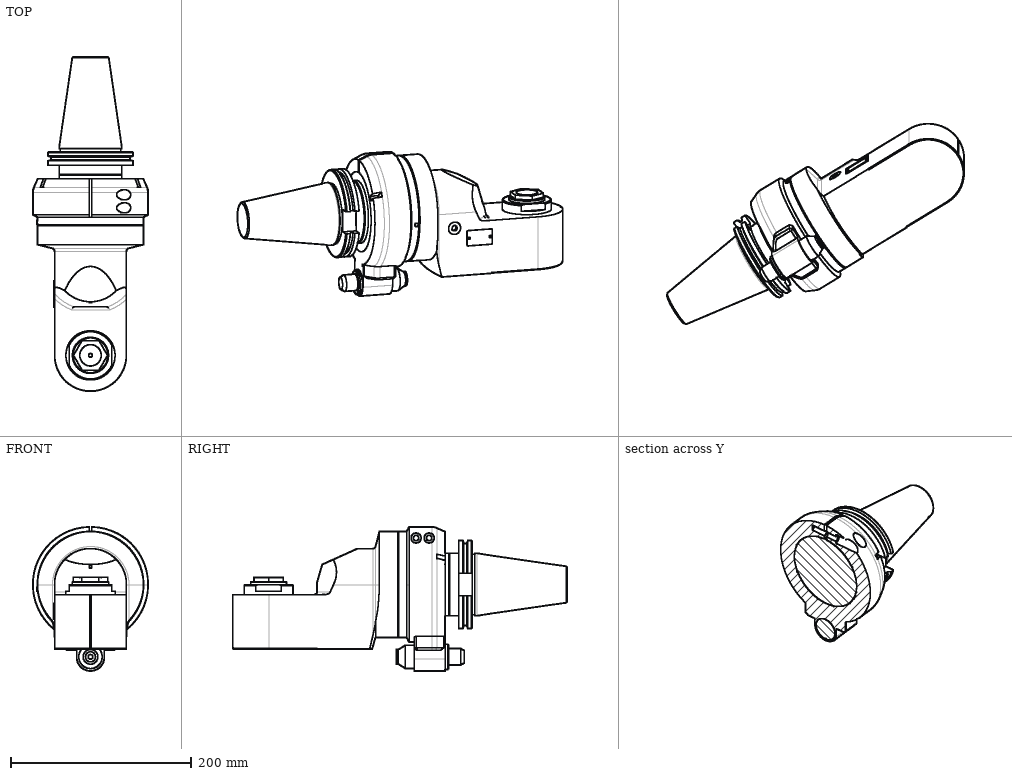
import cadquery as cq
import math


TOTAL_LENGTH = 371.5
TOTAL_HEIGHT = 160.0
FAR = 223.0
OVERRUN = 3.7

FLANGE_REAR_Y = 266.0
FLANGE_FRONT_Y = 250.7
RING_REAR_Y = 236.0
RING_FRONT_Y = 193.0
FLARE_REAR_Y = 162.5

TAPER_END_RADIUS = 20.5
TAPER_END_CHAMFER = 1.5
NECK_RADIUS = 35.0
TAPER_LENGTH = 100.5
RELIEF_WIDTH = 3.0
RELIEF_DEPTH = 1.0
FLANGE_RADIUS = 49.0
FLANGE_CHAMFER = 1.0
GRIP_RADIUS = 45.5
GRIP_REAR_Y = 259.5
GRIP_FRONT_Y = 256.5
GRIP_REAR_SLOPE = 1.5
GRIP_FRONT_SLOPE = 1.0
DRIVE_SLOT_WIDTH = 25.3
DRIVE_SLOT_FLOOR = 36.0
NECK_GROOVE_Y = 239.5
NECK_GROOVE_WIDTH = 1.0
NECK_GROOVE_DEPTH = 0.55

BARREL_RADIUS = 59.0
SPIGOT_RADIUS = 44.5
SEAM_Y = 183.5
SEAM_WIDTH = 1.0
SEAM_DEPTH = 0.55
ARM_HALF_WIDTH = 80.0 / 2
ARM_TOP_Z = -11.0
ARM_BOTTOM_Z = -71.5
ARM_EDGE_CHAMFER = 1.0
FLARE_TIP_Y = 158.0
FLARE_FILLET = 3.5
LIMIT_CONE_Y = 158.5
LIMIT_CONE_SLOPE = 0.29
SHOULDER_CONE_Y = 144.0
SHOULDER_CONE_RADIUS = 51.3
SHOULDER_CONE_SLOPE = 0.29
SHOULDER_FACE_Y = 93.5
FOOT_HEIGHT = 3.0
ROOF_TOP_Y = 138.5
ROOF_RISE = 0.45
VENT_DIAMETER = 3.3
VENT_Z = 19.5
VENT_DEPTH = 3.7
NOSE_MARK_WIDTH = 1.5
NOSE_MARK_DEPTH = 0.55
STUD_Y = 187.5
STUD_Z = -5.2
STUD_DIAMETER = 4.0
STUD_HEIGHT = 0.7

RING_RADIUS = 128.0 / 2
RING_REAR_RADIUS = 58.5
RING_CONE_FRONT_Y = 226.5
RING_CONE_FRONT_RADIUS = 62.8
RING_ROUND_FRONT_Y = 221.0
RING_CHAMFER_Y = 195.7
SLIT_WIDTH = 2.5
NOTCH_WIDTH = 5.2
NOTCH_BOTTOM_RADIUS = 49.5
NOTCH_ANGLES = (30, 150)
SCREW_HOLE_STATIONS = (218.0, 203.5)
SCREW_HOLE_Z = 51.5
SCREW_HEAD_DIAMETER = 11.0
SCREW_SHAFT_DIAMETER = 6.0
SCREW_SEAT_X = 15.0
SCREW_HOLE_END_X = -18.5
LUG_FRONT_Y = 201.3
LUG_BLOCK_TOP_Z = -57.2
LUG_BLOCK_BOTTOM_Z = -72.8
LUG_BLOCK_CHAMFER = 2.5
LUG_HALF_WIDTH = 31.0 / 2
LUG_ROUND_Z = -82.5
LUG_BOTTOM_Z = RING_RADIUS - TOTAL_HEIGHT
PIN_Z = -80.2

PIN_REAR_Y = 257.0
PIN_REAR_RADIUS = 9.3
PIN_REAR_CHAMFER = 2.2
PIN_REAR_CHAMFER_LENGTH = 4.0
PIN_COLLAR_REAR_Y = 240.0
PIN_COLLAR_RADIUS = 14.0
PIN_COLLAR_CHAMFER = 1.5
PIN_RADIUS = 13.0
PIN_CONE_Y = 191.5
PIN_TIP_RADIUS = 8.0
PIN_TIP_CONE_Y = 184.0
PIN_TIP_Y = 181.5
PIN_BORE_DIAMETER = 5.2
PIN_BORE_DEPTH = 7.5
PIN_SOCKET_DIAMETER = 11.0
PIN_SOCKET_DEPTH = 2.2

SPINDLE_Y = ARM_HALF_WIDTH
NUT_RADIUS = 54.5 / 2
NUT_TOP_Z = 0.0
NUT_CHAMFER = 1.0
NUT_ACROSS_FLATS = 46.8
NUT_FLAT_BOTTOM_Z = -7.5
COLLAR_RADIUS = 20.0
COLLAR_TOP_Z = 3.5
COLLAR_CHAMFER = 0.7
HEX_ACROSS_FLATS = 32.5
HEX_TOP_Z = 7.8
BORE_DIAMETER = 23.8
BORE_DEPTH = 7.0
SHAFT_RADIUS = 16.5
SHAFT_BOTTOM_Z = -18.5
CENTER_HOLE_DIAMETER = 4.0
CENTER_HOLE_DEPTH = 3.0

PLUG_Y = 137.0
PLUG_Z = -17.0
PLUG_DIAMETER = 14.0
PLUG_DEPTH = 7.5
PLUG_SOCKET_DIAMETER = 6.0
PLUG_SOCKET_DEPTH = 3.7
PLATE_FRONT_Y = 93.2
PLATE_LENGTH = 29.5
PLATE_TOP_Z = -20.8
PLATE_HEIGHT = 17.5
PLATE_THICKNESS = 0.7
PLATE_CORNER_RADIUS = 1.0
PLATE_HOLE_DIAMETER = 2.5
PLATE_HOLE_INSET = 2.2


def turned(profile, z=0.0):
    """Solid of revolution about a line along Y at height z, from (radius, y) points."""
    flat = cq.Workplane("XY").polyline(profile).close()
    return flat.revolve(360, (0, 0, 0), (0, 1, 0)).translate((0, 0, z))


def block(x_range, y_range, z_range):
    """Axis-aligned box from its limits."""
    sizes = [high - low for low, high in (x_range, y_range, z_range)]
    corner = (x_range[0], y_range[0], z_range[0])
    return cq.Workplane("XY").box(*sizes, centered=False).translate(corner)


def rod(start, direction, diameter, length):
    """Cylinder from a start point along a direction."""
    cylinder = cq.Solid.makeCylinder(diameter / 2, length, cq.Vector(*start), cq.Vector(*direction))
    return cq.Workplane(cylinder)


def groove(y_front, width, radius, depth):
    """Ring-shaped cutter for a groove around the main axis."""
    y_rear = y_front + width
    inner = radius - depth
    outer = radius + depth
    return turned([(inner, y_front), (outer, y_front), (outer, y_rear), (inner, y_rear)])


def make_shank():
    taper_base_y = TOTAL_LENGTH - TAPER_LENGTH
    relief_radius = NECK_RADIUS - RELIEF_DEPTH
    shank = turned([
        (0, TOTAL_LENGTH),
        (TAPER_END_RADIUS - TAPER_END_CHAMFER, TOTAL_LENGTH),
        (TAPER_END_RADIUS, TOTAL_LENGTH - TAPER_END_CHAMFER),
        (NECK_RADIUS, taper_base_y),
        (NECK_RADIUS, FLANGE_REAR_Y + RELIEF_WIDTH),
        (relief_radius, FLANGE_REAR_Y + RELIEF_WIDTH),
        (relief_radius, FLANGE_REAR_Y),
        (FLANGE_RADIUS - FLANGE_CHAMFER, FLANGE_REAR_Y),
        (FLANGE_RADIUS, FLANGE_REAR_Y - FLANGE_CHAMFER),
        (FLANGE_RADIUS, GRIP_REAR_Y + GRIP_REAR_SLOPE),
        (GRIP_RADIUS, GRIP_REAR_Y),
        (GRIP_RADIUS, GRIP_FRONT_Y),
        (FLANGE_RADIUS, GRIP_FRONT_Y - GRIP_FRONT_SLOPE),
        (FLANGE_RADIUS, FLANGE_FRONT_Y),
        (NECK_RADIUS, FLANGE_FRONT_Y),
        (NECK_RADIUS, RING_REAR_Y),
        (0, RING_REAR_Y),
    ])
    half_slot = DRIVE_SLOT_WIDTH / 2
    for x_range in ((DRIVE_SLOT_FLOOR, FAR), (-FAR, -DRIVE_SLOT_FLOOR)):
        shank = shank.cut(block(x_range, (FLANGE_FRONT_Y, FLANGE_REAR_Y), (-half_slot, half_slot)))
    return shank.cut(groove(NECK_GROOVE_Y, NECK_GROOVE_WIDTH, NECK_RADIUS, NECK_GROOVE_DEPTH))


def neck_silhouette(rear_points, front_y):
    """Outline of half the flare and neck in the XY plane, filleted where the flare meets the neck."""
    flare_angle = math.atan2(BARREL_RADIUS - ARM_HALF_WIDTH, FLARE_REAR_Y - FLARE_TIP_Y)
    setback = FLARE_FILLET * math.tan(flare_angle / 2)
    fillet_start = (
        ARM_HALF_WIDTH + setback * math.sin(flare_angle),
        FLARE_TIP_Y + setback * math.cos(flare_angle),
    )
    fillet_end = (ARM_HALF_WIDTH, FLARE_TIP_Y - setback)
    outline = cq.Workplane("XY").polyline(rear_points + [(BARREL_RADIUS, FLARE_REAR_Y), fillet_start])
    outline = outline.tangentArcPoint(fillet_end, relative=False)
    return outline.lineTo(ARM_HALF_WIDTH, front_y).lineTo(0, front_y).close()


def make_neck():
    """Barrel, flare and round neck; below the axis the flare and neck run straight down."""
    barrel = [
        (0, RING_REAR_Y),
        (SPIGOT_RADIUS, RING_REAR_Y),
        (SPIGOT_RADIUS, RING_FRONT_Y),
        (BARREL_RADIUS, RING_FRONT_Y),
    ]
    front_y = SHOULDER_FACE_Y
    upper = neck_silhouette(barrel, front_y).revolve(360, (0, 0, 0), (0, 1, 0))

    half = neck_silhouette([(0, FLARE_REAR_Y)], front_y).extrude(ARM_BOTTOM_Z)
    lower = half.union(half.mirror("YZ"))
    limit_front_y = LIMIT_CONE_Y - LIMIT_CONE_SLOPE * (FAR - BARREL_RADIUS)
    limit = turned([
        (0, FLARE_REAR_Y),
        (BARREL_RADIUS, FLARE_REAR_Y),
        (BARREL_RADIUS, LIMIT_CONE_Y),
        (FAR, limit_front_y),
        (FAR, 0),
        (0, 0),
    ])
    return upper.union(lower.intersect(limit))


def shape_shoulder(neck):
    """Trim the part of the neck above the arm to a cone, a sloping roof and a small upright face."""
    cone_top_z = RING_RADIUS
    bottom_radius = SHOULDER_CONE_RADIUS - SHOULDER_CONE_SLOPE * ARM_TOP_Z
    top_radius = SHOULDER_CONE_RADIUS - SHOULDER_CONE_SLOPE * cone_top_z
    cone = cq.Solid.makeCone(
        bottom_radius, top_radius, cone_top_z - ARM_TOP_Z, cq.Vector(0, SHOULDER_CONE_Y, ARM_TOP_Z)
    )
    waste = block((-FAR, FAR), (0, SHOULDER_CONE_Y), (ARM_TOP_Z, FAR)).cut(cq.Workplane(cone))
    shaped = neck.cut(waste)

    roof = cq.Workplane("YZ").polyline([
        (ROOF_TOP_Y, ARM_HALF_WIDTH),
        (0, ARM_HALF_WIDTH - ROOF_RISE * ROOF_TOP_Y),
        (0, FAR),
        (ROOF_TOP_Y, FAR),
    ]).close().extrude(FAR, both=True)
    return shaped.cut(roof)


def make_foot():
    """Hollow round along the foot of the shoulder, mitred where its cone meets its upright face."""
    top_z = ARM_TOP_Z + FOOT_HEIGHT
    base_radius = SHOULDER_CONE_RADIUS - SHOULDER_CONE_SLOPE * ARM_TOP_Z
    top_radius = base_radius - SHOULDER_CONE_SLOPE * FOOT_HEIGHT
    setback = math.hypot(FOOT_HEIGHT, SHOULDER_CONE_SLOPE * FOOT_HEIGHT)
    half_corner = (math.pi / 2 + math.atan(SHOULDER_CONE_SLOPE)) / 2
    round_radius = setback * math.tan(half_corner)
    round_middle = (
        base_radius + setback - round_radius * math.cos(half_corner),
        ARM_TOP_Z + round_radius * (1 - math.sin(half_corner)),
    )
    around_cone = (
        cq.Workplane("XZ")
        .moveTo(0, ARM_TOP_Z)
        .lineTo(base_radius + setback, ARM_TOP_Z)
        .threePointArc(round_middle, (top_radius, top_z))
        .lineTo(0, top_z)
        .close()
        .revolve(360, (0, 0, 0), (0, 1, 0))
        .translate((0, SHOULDER_CONE_Y, 0))
    )
    along_face = (
        cq.Workplane("YZ")
        .moveTo(SHOULDER_CONE_Y, ARM_TOP_Z)
        .lineTo(SHOULDER_FACE_Y - FOOT_HEIGHT, ARM_TOP_Z)
        .radiusArc((SHOULDER_FACE_Y, top_z), -FOOT_HEIGHT)
        .lineTo(SHOULDER_CONE_Y, top_z)
        .close()
        .extrude(ARM_HALF_WIDTH, both=True)
    )
    return around_cone.intersect(along_face)


def make_arm():
    """Flat arm with a round nose."""
    outline = (
        cq.Workplane("XY")
        .moveTo(-ARM_HALF_WIDTH, SHOULDER_CONE_Y)
        .lineTo(-ARM_HALF_WIDTH, SPINDLE_Y)
        .threePointArc((0, 0), (ARM_HALF_WIDTH, SPINDLE_Y))
        .lineTo(ARM_HALF_WIDTH, SHOULDER_CONE_Y)
        .close()
    )
    arm = outline.extrude(ARM_TOP_Z - ARM_BOTTOM_Z).translate((0, 0, ARM_BOTTOM_Z))
    return arm.faces("<Z").edges("not >Y").chamfer(ARM_EDGE_CHAMFER)


def make_housing():
    housing = shape_shoulder(make_neck()).union(make_arm()).union(make_foot())
    housing = housing.cut(groove(SEAM_Y, SEAM_WIDTH, BARREL_RADIUS, SEAM_DEPTH))

    cone_front_y = SHOULDER_CONE_Y - SHOULDER_CONE_RADIUS + SHOULDER_CONE_SLOPE * VENT_Z
    vent_start = (0, cone_front_y - OVERRUN, VENT_Z)
    housing = housing.cut(rod(vent_start, (0, 1, 0), VENT_DIAMETER, VENT_DEPTH + OVERRUN))

    stud_length = OVERRUN + STUD_HEIGHT
    stud = rod((-BARREL_RADIUS - STUD_HEIGHT, STUD_Y, STUD_Z), (1, 0, 0), STUD_DIAMETER, stud_length)
    plug_seat = rod((-ARM_HALF_WIDTH, PLUG_Y, PLUG_Z), (1, 0, 0), PLUG_DIAMETER, PLUG_DEPTH)
    half_mark = NOSE_MARK_WIDTH / 2
    nose_mark = block((-half_mark, half_mark), (0, NOSE_MARK_DEPTH), (ARM_BOTTOM_Z, ARM_TOP_Z))
    return housing.union(stud).cut(plug_seat).cut(nose_mark).cut(spindle_shaft())


def ring_half_width(radius):
    """Half width of the ring, where it has the given radius, at the height of the top of the lug block."""
    return math.sqrt(radius**2 - LUG_BLOCK_TOP_Z**2)


def make_lug():
    """Block hanging below the ring, with a narrow round-bottomed lug that holds the stop pin."""
    front_half_width = ring_half_width(RING_RADIUS)
    half_block = (
        cq.Workplane("XY")
        .moveTo(0, LUG_FRONT_Y)
        .lineTo(front_half_width, LUG_FRONT_Y)
        .lineTo(front_half_width, RING_ROUND_FRONT_Y)
        .tangentArcPoint((ring_half_width(RING_CONE_FRONT_RADIUS), RING_CONE_FRONT_Y), relative=False)
        .lineTo(ring_half_width(RING_REAR_RADIUS), RING_REAR_Y)
        .lineTo(0, RING_REAR_Y)
        .close()
        .extrude(LUG_BLOCK_BOTTOM_Z - LUG_BLOCK_TOP_Z)
        .translate((0, 0, LUG_BLOCK_TOP_Z))
    )
    whole_block = half_block.union(half_block.mirror("YZ"))
    whole_block = whole_block.edges("|Z and <Y").chamfer(LUG_BLOCK_CHAMFER)
    whole_block = whole_block.faces("<Z").edges("not >Y").chamfer(LUG_BLOCK_CHAMFER)

    lug = (
        cq.Workplane("XZ", origin=(0, RING_REAR_Y, 0))
        .moveTo(-LUG_HALF_WIDTH, -BARREL_RADIUS)
        .lineTo(-LUG_HALF_WIDTH, LUG_ROUND_Z)
        .threePointArc((0, LUG_BOTTOM_Z), (LUG_HALF_WIDTH, LUG_ROUND_Z))
        .lineTo(LUG_HALF_WIDTH, -BARREL_RADIUS)
        .close()
        .extrude(RING_REAR_Y - LUG_FRONT_Y)
    )
    return whole_block.union(lug)


def make_ring():
    outer = (
        cq.Workplane("XY")
        .moveTo(0, RING_FRONT_Y)
        .lineTo(BARREL_RADIUS, RING_FRONT_Y)
        .lineTo(RING_RADIUS, RING_CHAMFER_Y)
        .lineTo(RING_RADIUS, RING_ROUND_FRONT_Y)
        .tangentArcPoint((RING_CONE_FRONT_RADIUS, RING_CONE_FRONT_Y), relative=False)
        .lineTo(RING_REAR_RADIUS, RING_REAR_Y)
        .lineTo(0, RING_REAR_Y)
        .close()
    )
    ring = outer.revolve(360, (0, 0, 0), (0, 1, 0)).union(make_lug())
    ring_length = RING_REAR_Y - RING_FRONT_Y
    ring = ring.cut(rod((0, RING_FRONT_Y, 0), (0, 1, 0), 2 * SPIGOT_RADIUS, ring_length))

    half_slit = SLIT_WIDTH / 2
    ring = ring.cut(block((-half_slit, half_slit), (RING_FRONT_Y, RING_REAR_Y), (0, FAR)))

    half_notch = NOTCH_WIDTH / 2
    notch = block((NOTCH_BOTTOM_RADIUS, FAR), (RING_CONE_FRONT_Y, RING_REAR_Y), (-half_notch, half_notch))
    for angle in NOTCH_ANGLES:
        ring = ring.cut(notch.rotate((0, 0, 0), (0, 1, 0), -angle))

    for y in SCREW_HOLE_STATIONS:
        head = rod((SCREW_SEAT_X, y, SCREW_HOLE_Z), (1, 0, 0), SCREW_HEAD_DIAMETER, FAR)
        shaft_length = SCREW_SEAT_X - SCREW_HOLE_END_X
        shaft = rod((SCREW_HOLE_END_X, y, SCREW_HOLE_Z), (1, 0, 0), SCREW_SHAFT_DIAMETER, shaft_length)
        ring = ring.cut(head).cut(shaft)
    return ring.cut(rod((0, LUG_FRONT_Y, PIN_Z), (0, 1, 0), 2 * PIN_RADIUS, RING_REAR_Y - LUG_FRONT_Y))


def make_pin():
    rear = [
        (0, PIN_REAR_Y),
        (PIN_REAR_RADIUS - PIN_REAR_CHAMFER, PIN_REAR_Y),
        (PIN_REAR_RADIUS, PIN_REAR_Y - PIN_REAR_CHAMFER_LENGTH),
        (PIN_REAR_RADIUS, PIN_COLLAR_REAR_Y),
    ]
    collar = [
        (PIN_COLLAR_RADIUS - PIN_COLLAR_CHAMFER, PIN_COLLAR_REAR_Y),
        (PIN_COLLAR_RADIUS, PIN_COLLAR_REAR_Y - PIN_COLLAR_CHAMFER),
        (PIN_COLLAR_RADIUS, RING_REAR_Y),
        (PIN_RADIUS, RING_REAR_Y),
    ]
    nose = [
        (PIN_RADIUS, PIN_CONE_Y),
        (PIN_TIP_RADIUS, PIN_TIP_CONE_Y),
        (PIN_TIP_RADIUS, PIN_TIP_Y),
        (0, PIN_TIP_Y),
    ]
    pin = turned(rear + collar + nose, PIN_Z)
    tip = (0, PIN_TIP_Y, PIN_Z)
    pin = pin.cut(rod(tip, (0, 1, 0), PIN_SOCKET_DIAMETER, PIN_SOCKET_DEPTH))
    return pin.cut(rod(tip, (0, 1, 0), PIN_BORE_DIAMETER, PIN_BORE_DEPTH))


def spindle_shaft():
    """Part of the spindle below its collar; the nut and the arm have a bore of this shape."""
    return rod((0, SPINDLE_Y, NUT_TOP_Z), (0, 0, -1), 2 * SHAFT_RADIUS, NUT_TOP_Z - SHAFT_BOTTOM_Z)


def make_bearing_nut():
    """Round nut on the arm, with two flats facing -X and +X and a seat for the spindle."""
    height = NUT_TOP_Z - ARM_TOP_Z
    nut = rod((0, SPINDLE_Y, ARM_TOP_Z), (0, 0, 1), 2 * NUT_RADIUS, height)
    nut = nut.faces(">Z").chamfer(NUT_CHAMFER)
    half_flats = NUT_ACROSS_FLATS / 2
    for x_range in ((half_flats, FAR), (-FAR, -half_flats)):
        nut = nut.cut(block(x_range, (0, 2 * SPINDLE_Y), (NUT_FLAT_BOTTOM_Z, FAR)))
    return nut.cut(spindle_shaft())


def make_spindle():
    """Shaft and collar with a bored hexagon on top, its corners toward -X and +X."""
    spindle = rod((0, SPINDLE_Y, NUT_TOP_Z), (0, 0, 1), 2 * COLLAR_RADIUS, COLLAR_TOP_Z - NUT_TOP_Z)
    spindle = spindle.faces(">Z").chamfer(COLLAR_CHAMFER)
    across_corners = HEX_ACROSS_FLATS / math.cos(math.pi / 6)
    hexagon = cq.Workplane("XY", origin=(0, SPINDLE_Y, NUT_TOP_Z)).polygon(6, across_corners)
    spindle = spindle.union(hexagon.extrude(HEX_TOP_Z - NUT_TOP_Z)).union(spindle_shaft())
    bore = rod((0, SPINDLE_Y, HEX_TOP_Z), (0, 0, -1), BORE_DIAMETER, BORE_DEPTH)
    bore_floor = (0, SPINDLE_Y, HEX_TOP_Z - BORE_DEPTH)
    center_hole = rod(bore_floor, (0, 0, -1), CENTER_HOLE_DIAMETER, CENTER_HOLE_DEPTH)
    return spindle.cut(bore).cut(center_hole)


def make_plug():
    face = (-ARM_HALF_WIDTH, PLUG_Y, PLUG_Z)
    plug = rod(face, (1, 0, 0), PLUG_DIAMETER, PLUG_DEPTH)
    return plug.cut(rod(face, (1, 0, 0), PLUG_SOCKET_DIAMETER, PLUG_SOCKET_DEPTH))


def make_nameplate():
    outer_x = -ARM_HALF_WIDTH - PLATE_THICKNESS
    rear_y = PLATE_FRONT_Y + PLATE_LENGTH
    bottom_z = PLATE_TOP_Z - PLATE_HEIGHT
    plate = block((outer_x, -ARM_HALF_WIDTH), (PLATE_FRONT_Y, rear_y), (bottom_z, PLATE_TOP_Z))
    plate = plate.edges("|X").fillet(PLATE_CORNER_RADIUS)
    for y in (PLATE_FRONT_Y + PLATE_HOLE_INSET, rear_y - PLATE_HOLE_INSET):
        hole_start = (outer_x, y, PLATE_TOP_Z - PLATE_HEIGHT / 2)
        plate = plate.cut(rod(hole_start, (1, 0, 0), PLATE_HOLE_DIAMETER, PLATE_THICKNESS))
    return plate


shank = make_shank()
housing = make_housing()
ring = make_ring()
pin = make_pin()
bearing_nut = make_bearing_nut()
spindle = make_spindle()
plug = make_plug()
nameplate = make_nameplate()

bodies = (shank, housing, ring, pin, bearing_nut, spindle, plug, nameplate)
result = cq.Compound.makeCompound([body.solids().val() for body in bodies])